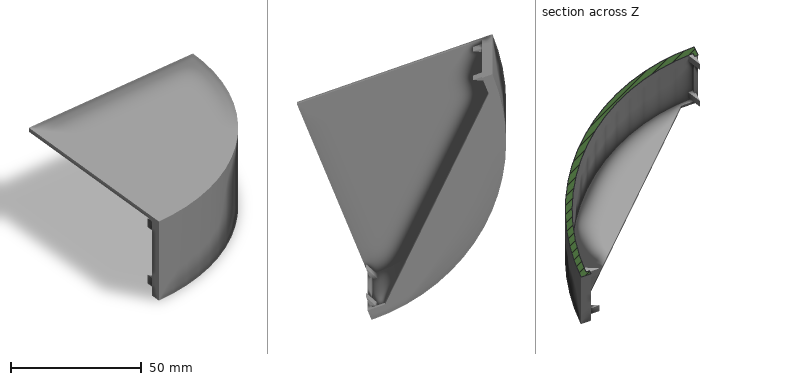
import cadquery as cq
import math

outer_radius = 80.0
height = 36.8
roof_thickness = 1.8
floor_thickness = 1.6

wall_inner_radius = 77.2
flange_thickness = 1.7
flange_inner_edge = 75.8

floor_edge_offset = 7.1

catch_inset = 1.0
catch_width = 2.6
catch_tip = 71.8
catch_height = 4.1
catch_gap = 1.5

roof_underside = height - roof_thickness
lower_catch_base = floor_thickness + catch_gap
upper_catch_base = roof_underside - catch_gap - catch_height


def quadrant(radius, base, top):
    """Solid quarter disc between two heights."""
    middle = radius * math.sqrt(0.5)
    return (
        cq.Workplane("XY", origin=(0, 0, base))
        .lineTo(radius, 0)
        .threePointArc((middle, middle), (0, radius))
        .close()
        .extrude(top - base)
    )


def mirror_point(point):
    """Swap X and Y, reflecting a point across the quadrant's diagonal."""
    return point[1], point[0]


def prism(points, base, depth):
    return cq.Workplane("XY", origin=(0, 0, base)).polyline(points).close().extrude(depth)


def make_shell():
    """Roof and curved wall with end flanges."""
    roof = quadrant(outer_radius, roof_underside, height)
    wall = quadrant(outer_radius, 0, roof_underside).cut(
        quadrant(wall_inner_radius, 0, roof_underside)
    )
    flange_outline = [
        (0, flange_inner_edge),
        (flange_thickness, flange_inner_edge),
        (flange_thickness, outer_radius),
        (0, outer_radius),
    ]
    envelope = quadrant(outer_radius, 0, height)
    shell = roof.union(wall)
    for outline in (flange_outline, [mirror_point(p) for p in flange_outline]):
        shell = shell.union(prism(outline, 0, roof_underside).intersect(envelope))
    return shell


def make_floor():
    """Partial floor between the curved wall and the diagonal edge."""
    outline = [
        (0, flange_inner_edge),
        (floor_edge_offset, flange_inner_edge),
        (flange_inner_edge, floor_edge_offset),
        (flange_inner_edge, 0),
        (outer_radius, 0),
        (outer_radius, outer_radius),
        (0, outer_radius),
    ]
    disc = quadrant(outer_radius, 0, floor_thickness)
    return disc.intersect(prism(outline, 0, floor_thickness))


def add_catches(body):
    """Wedges rooted in the flange and wall, tapering toward the opening."""
    root_x = catch_inset + catch_width
    root_y = math.sqrt(wall_inner_radius**2 - root_x**2)
    outline = [
        (catch_inset, catch_tip),
        (root_x, root_y),
        (catch_inset, outer_radius - flange_thickness),
    ]
    for points in (outline, [mirror_point(p) for p in outline]):
        for base in (lower_catch_base, upper_catch_base):
            body = body.union(prism(points, base, catch_height))
    return body


result = add_catches(make_shell().union(make_floor()))